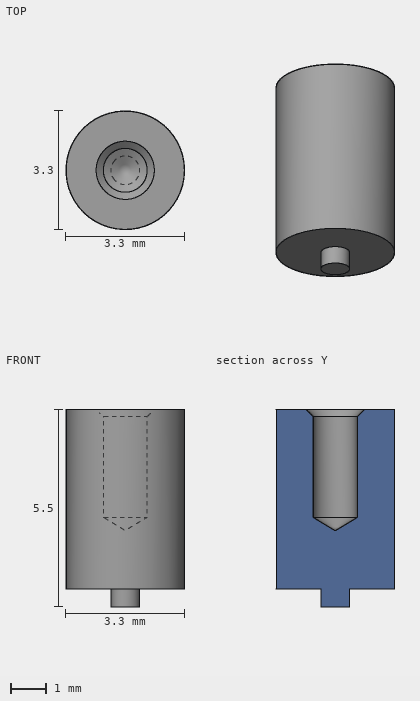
import cadquery as cq
import math

body_diameter = 3.3
body_height = 5.0
pin_diameter = 0.8
pin_length = 0.5

hole_diameter = 1.22
hole_depth = 3.0
drill_point_angle = 118.0
countersink_width = 0.2


def make_body():
    """Upright cylinder standing on Z = 0."""
    return cq.Workplane("XY").circle(body_diameter / 2).extrude(body_height)


def make_pin():
    """Small pin hanging from the centre of the bottom face."""
    return cq.Workplane("XY").circle(pin_diameter / 2).extrude(-pin_length)


def make_hole_cutter():
    """Revolved half profile of the countersunk hole with its conical drill point."""
    hole_radius = hole_diameter / 2
    wall_end = body_height - hole_depth
    point_depth = hole_radius / math.tan(math.radians(drill_point_angle / 2))
    return (
        cq.Workplane("XZ")
        .moveTo(0, body_height)
        .lineTo(hole_radius + countersink_width, body_height)
        .lineTo(hole_radius, body_height - countersink_width)
        .lineTo(hole_radius, wall_end)
        .lineTo(0, wall_end - point_depth)
        .close()
        .revolve(360, (0, 0, 0), (0, 1, 0))
    )


result = make_body().union(make_pin()).cut(make_hole_cutter())